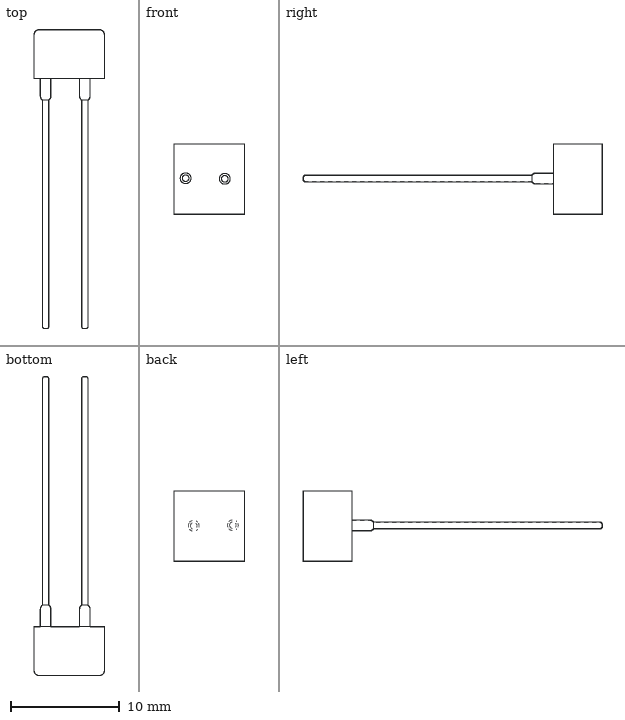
import cadquery as cq

body_side = 6.5
body_depth = 4.5
corner_radius = 0.5

overall_length = 27.5
lead_positions = ((-2.17, 0.08), (1.43, 0.03))
lead_diameter = 0.6
lead_end_radius = 0.22
sleeve_diameter = 1.0
sleeve_length = 2.05
sleeve_end_radius = 0.47

lead_length = overall_length - body_depth


def make_body():
    """Block with its front face on Y = 0 and its two back vertical edges rounded."""
    block = cq.Workplane("XY").box(body_side, body_depth, body_side, centered=(True, False, True))
    return block.edges("|Z and >Y").fillet(corner_radius)


def make_lead(x, z):
    """Round lead with a rounded tip and a round-ended sleeve next to the block."""
    front = cq.Workplane("XZ", origin=(x, 0, z))
    wire = front.circle(lead_diameter / 2).extrude(lead_length)
    wire = wire.faces("<Y").edges().fillet(lead_end_radius)
    sleeve = front.circle(sleeve_diameter / 2).extrude(sleeve_length)
    sleeve = sleeve.faces("<Y").edges().fillet(sleeve_end_radius)
    return wire.union(sleeve)


result = make_body()
for lead_x, lead_z in lead_positions:
    result = result.union(make_lead(lead_x, lead_z))